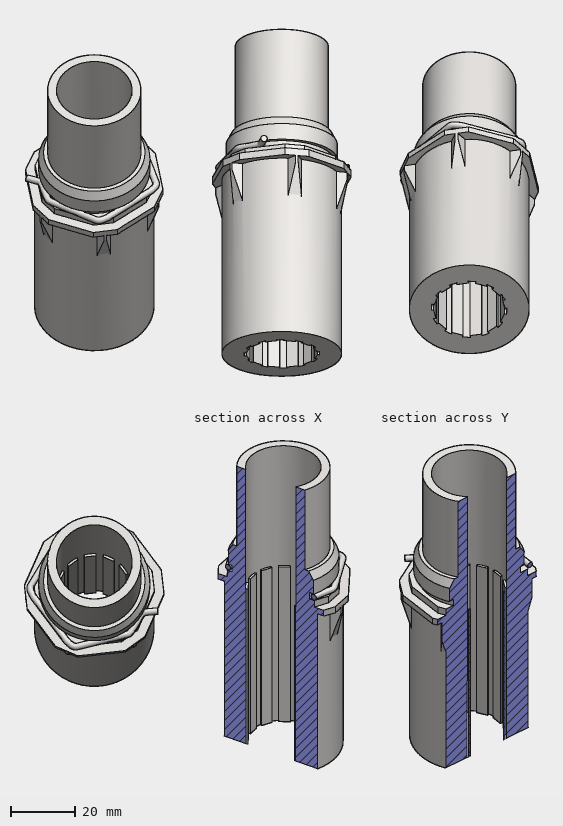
import cadquery as cq
import math

FLANGE_BOTTOM_Z = 58.3
FLANGE_TOP_Z = 60.5
COLLAR_TOP_Z = 63.0
GROOVE_TOP_Z = 65.2
CAP_CHAMFER_Z = 70.5
CAP_TOP_Z = 73.3
TOTAL_HEIGHT = 103.3

BORE_RADIUS = 11.8
SOCKET_RADIUS = 18.7
GROOVE_RADIUS = 16.1
CAP_RADIUS = 17.4
CAP_TOP_RADIUS = 15.8
SPIGOT_RADIUS = 14.6

FLANGE_WIDTH_X = 41.0
FLANGE_WIDTH_Y = 43.0
COLLAR_WIDTH_X = 35.2
COLLAR_WIDTH_Y = 37.1

RIB_COUNT = 6
RIB_START_ANGLE = 30
RIB_ROOT_WIDTH = 4.8
RIB_TIP_WIDTH = 0.8
RIB_HEIGHT = 12.4
RIB_STRAIGHT_HEIGHT = 2.3
RIB_TIP_RADIUS = FLANGE_WIDTH_Y / 2
RIB_ROOT_DEPTH = 0.5
RIB_FOOT_DEPTH = 0.1
RIB_ROOT_RADIUS = SOCKET_RADIUS - RIB_ROOT_DEPTH
RIB_FOOT_RADIUS = SOCKET_RADIUS - RIB_FOOT_DEPTH

PAD_COUNT = 12
PAD_WIDTH = 3.7
PAD_INNER_RADIUS = 11.0

HALF_SIDE_ANGLE = 30

WIRE_RADIUS = 1.0
WIRE_BEND_RADIUS = 2.1
WIRE_Z = (COLLAR_TOP_Z + GROOVE_TOP_Z) / 2
WIRE_OFFSET = GROOVE_RADIUS + WIRE_RADIUS
LEG_SLOPE = math.radians(22.5)
BACK_HALF_LENGTH = 8.8
CORNER_X = 16.5
TAIL_BEND_X = -7.3
TAIL_END = (-11.4, 18.0)


def hexagon_prism(width, first_flat_angle, bottom_z, top_z):
    """Hexagonal prism with a flat facing first_flat_angle (degrees)."""
    corner_diameter = width / math.cos(math.radians(HALF_SIDE_ANGLE))
    return (
        cq.Workplane("XY", origin=(0, 0, bottom_z))
        .polygon(6, corner_diameter)
        .extrude(top_z - bottom_z)
        .rotate((0, 0, 0), (0, 0, 1), first_flat_angle + HALF_SIDE_ANGLE)
    )


def twelve_sided_plate(width_x, width_y, bottom_z, top_z):
    flats_on_x = hexagon_prism(width_x, 0, bottom_z, top_z)
    flats_on_y = hexagon_prism(width_y, 90, bottom_z, top_z)
    return flats_on_x.intersect(flats_on_y)


def turned_body():
    """Socket, clip groove, chamfered cap and spigot as one revolved profile."""
    profile = [
        (0, 0),
        (SOCKET_RADIUS, 0),
        (SOCKET_RADIUS, FLANGE_BOTTOM_Z),
        (GROOVE_RADIUS, FLANGE_BOTTOM_Z),
        (GROOVE_RADIUS, GROOVE_TOP_Z),
        (CAP_RADIUS, GROOVE_TOP_Z),
        (CAP_RADIUS, CAP_CHAMFER_Z),
        (CAP_TOP_RADIUS, CAP_TOP_Z),
        (SPIGOT_RADIUS, CAP_TOP_Z),
        (SPIGOT_RADIUS, TOTAL_HEIGHT),
        (0, TOTAL_HEIGHT),
    ]
    return cq.Workplane("XZ").polyline(profile).close().revolve(360, (0, 0), (0, 1))


def wedge_rib():
    """Rib on the +X side: tapers outward in plan and slopes back to the wall at its foot."""
    root = RIB_ROOT_WIDTH / 2
    tip = RIB_TIP_WIDTH / 2
    foot_z = FLANGE_BOTTOM_Z - RIB_HEIGHT
    plan = [
        (RIB_ROOT_RADIUS, -root),
        (RIB_TIP_RADIUS, -tip),
        (RIB_TIP_RADIUS, tip),
        (RIB_ROOT_RADIUS, root),
    ]
    side = [
        (RIB_ROOT_RADIUS, FLANGE_BOTTOM_Z),
        (RIB_TIP_RADIUS, FLANGE_BOTTOM_Z),
        (RIB_TIP_RADIUS, FLANGE_BOTTOM_Z - RIB_STRAIGHT_HEIGHT),
        (RIB_FOOT_RADIUS, foot_z),
        (RIB_ROOT_RADIUS, foot_z),
    ]
    tapered = cq.Workplane("XY", origin=(0, 0, foot_z)).polyline(plan).close().extrude(RIB_HEIGHT)
    sloped = cq.Workplane("XZ").polyline(side).close().extrude(root, both=True)
    return tapered.intersect(sloped)


def stop_pad():
    """Flat-faced pad on the +X side of the bore, as tall as the socket."""
    thickness = BORE_RADIUS - PAD_INNER_RADIUS
    centre_x = PAD_INNER_RADIUS + thickness / 2
    return (
        cq.Workplane("XY")
        .center(centre_x, 0)
        .rect(thickness, PAD_WIDTH)
        .extrude(FLANGE_BOTTOM_Z)
    )


def make_fitting():
    flange = twelve_sided_plate(FLANGE_WIDTH_X, FLANGE_WIDTH_Y, FLANGE_BOTTOM_Z, FLANGE_TOP_Z)
    collar = twelve_sided_plate(COLLAR_WIDTH_X, COLLAR_WIDTH_Y, FLANGE_TOP_Z, COLLAR_TOP_Z)
    fitting = turned_body().union(flange).union(collar)
    for index in range(RIB_COUNT):
        angle = RIB_START_ANGLE + index * 360 / RIB_COUNT
        fitting = fitting.union(wedge_rib().rotate((0, 0, 0), (0, 0, 1), angle))

    bore = cq.Workplane("XY").circle(BORE_RADIUS).extrude(TOTAL_HEIGHT)
    for index in range(PAD_COUNT):
        angle = index * 360 / PAD_COUNT
        bore = bore.cut(stop_pad().rotate((0, 0, 0), (0, 0, 1), angle))
    return fitting.cut(bore)


def bent_wire_path(corners, bend_radius):
    """Open path through the corners, each inner corner rounded to bend_radius."""
    points = [cq.Vector(x, y, WIRE_Z) for x, y in corners]
    edges = []
    start = points[0]
    for before, corner, after in zip(points, points[1:], points[2:]):
        back = (before - corner).normalized()
        ahead = (after - corner).normalized()
        half_angle = back.getAngle(ahead) / 2
        setback = bend_radius / math.tan(half_angle)
        arc_depth = bend_radius / math.sin(half_angle) - bend_radius
        arc_start = corner + back * setback
        arc_middle = corner + (back + ahead).normalized() * arc_depth
        arc_end = corner + ahead * setback
        edges.append(cq.Edge.makeLine(start, arc_start))
        edges.append(cq.Edge.makeThreePointArc(arc_start, arc_middle, arc_end))
        start = arc_end
    edges.append(cq.Edge.makeLine(start, points[-1]))
    return cq.Wire.assembleEdges(edges)


def make_clip():
    apex_y = WIRE_OFFSET / math.cos(LEG_SLOPE)
    drop = math.tan(LEG_SLOPE)
    upper_half = [
        (WIRE_OFFSET, BACK_HALF_LENGTH),
        (CORNER_X, apex_y - CORNER_X * drop),
        (0, apex_y),
        (TAIL_BEND_X, apex_y + TAIL_BEND_X * drop),
        TAIL_END,
    ]
    lower_half = [(x, -y) for x, y in reversed(upper_half)]
    corners = lower_half + upper_half
    path = bent_wire_path(corners, WIRE_BEND_RADIUS)
    start_plane = cq.Plane(
        origin=path.startPoint().toTuple(), xDir=(0, 0, 1), normal=path.tangentAt(0).toTuple()
    )
    return cq.Workplane(start_plane).circle(WIRE_RADIUS).sweep(cq.Workplane(path))


fitting = make_fitting()
clip = make_clip()

result = cq.Compound.makeCompound([*fitting.solids().vals(), clip.val()])